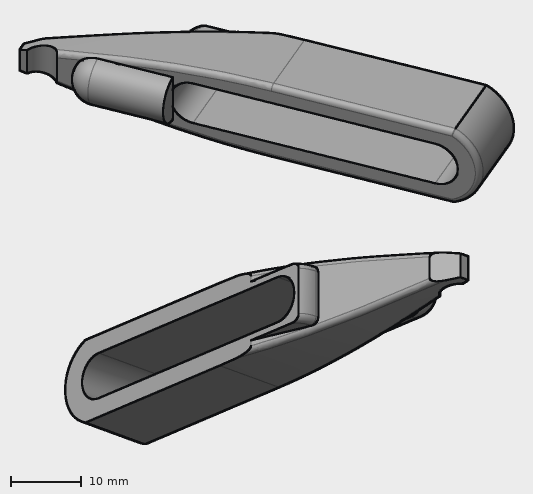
import cadquery as cq
import math

length = 70.5
depth = 12.05
half_height = 6.35
tip_half_height = 1.8
taper_end = 38.5
taper_mid = (12.0, 3.95)
tip_slope = 0.18
round_start = 66.3
edge_radius = 0.85
trim_stock = 3.5

tip_depth = 1.55
slope_start = (3.5, 4.15)
slope_end = (32.0, depth)

groove_radius = 2.5
groove_center = (3.45, -0.9)

slot_radius = 3.45
slot_start = 23.05
slot_end = 67.0

pin_radius = 3.7
pin_start = 8.3
pin_end = 23.5

block_start = 21.3
block_end = 32.45
block_half_height = 4.5
block_base = 7.05
block_radius = 1.05
block_bend_start = 9.5
block_lean = 0.85


def make_blank():
    """Extrude the handle outline along Y."""
    taper = [taper_mid, (taper_end, half_height)]
    lower_taper = [(taper_mid[0], -taper_mid[1]), (0, -tip_half_height)]
    outline = (
        cq.Workplane("XZ")
        .moveTo(0, tip_half_height)
        .spline(taper, tangents=[(1, tip_slope), (1, 0)], includeCurrent=True)
        .lineTo(round_start, half_height)
        .threePointArc((length, 0), (round_start, -half_height))
        .lineTo(taper_end, -half_height)
        .spline(lower_taper, tangents=[(-1, 0), (-1, tip_slope)], includeCurrent=True)
        .close()
    )
    return outline.extrude(-(depth + trim_stock))


def cut_sloping_back(body):
    """Slice off the back of the nose and round the two long edges this leaves."""
    slope = (slope_end[1] - slope_start[1]) / (slope_end[0] - slope_start[0])
    slope_depth_at_tip = slope_start[1] - slope * slope_start[0]
    stock_depth = depth + trim_stock
    stock_end_x = slope_end[0] + trim_stock / slope
    wedge = (
        cq.Workplane("XY")
        .polyline([(0, slope_depth_at_tip), (stock_end_x, stock_depth), (0, stock_depth)])
        .close()
        .extrude(half_height, both=True)
    )
    sloped = body.cut(wedge)
    slope_normal = cq.Vector(-slope, 1, 0)
    slope_face = sloped.faces(cq.selectors.ParallelDirSelector(slope_normal))
    rounded = sloped.newObject(slope_face.edges("not |Z").vals()).fillet(edge_radius)
    surplus = cq.Workplane("XZ", origin=(0, depth, 0)).rect(3 * length, 3 * half_height).extrude(-length)
    return rounded.cut(surplus)


def cut_tip(body):
    """Bevel the back of the tip more steeply than the nose."""
    bevel_slope = (slope_start[1] - tip_depth) / slope_start[0]
    bevel_end = (depth - tip_depth) / bevel_slope
    bevel = (
        cq.Workplane("XY")
        .polyline([(0, tip_depth), (bevel_end, depth), (0, depth)])
        .close()
        .extrude(half_height, both=True)
    )
    return body.cut(bevel)


def cut_groove(body):
    """Cut the round groove across the front of the tip."""
    groove = (
        cq.Workplane("XY")
        .center(*groove_center)
        .circle(groove_radius)
        .extrude(half_height, both=True)
    )
    return body.cut(groove)


def round_front_rim(blank):
    """Round the rim of the front face, leaving the tip ahead of the groove sharp."""
    rounded = blank.faces("<Y").edges("not |Z").fillet(edge_radius)
    tip_zone = cq.Workplane("XY").box(2 * groove_center[0], 2 * edge_radius, length)
    return rounded.union(blank.intersect(tip_zone))


def make_block():
    """Block with rounded corners, its end wall leaning inward towards the back."""
    bend_radius = (block_lean**2 + (depth - block_bend_start) ** 2) / (2 * block_lean)
    bend_angle = math.asin((depth - block_bend_start) / bend_radius)
    bend_mid = (
        block_start + bend_radius * (1 - math.cos(bend_angle / 2)),
        block_bend_start + bend_radius * math.sin(bend_angle / 2),
    )
    profile = (
        cq.Workplane("XY")
        .moveTo(block_start, block_base)
        .lineTo(block_start, block_bend_start)
        .threePointArc(bend_mid, (block_start + block_lean, depth))
        .lineTo(block_end, depth)
        .lineTo(block_end, block_base)
        .close()
    )
    block = profile.extrude(block_half_height, both=True)
    end_wall = cq.selectors.BoxSelector(
        (block_start - block_lean, block_base, -depth),
        (block_start + block_lean, depth - edge_radius, depth),
    )
    return block.edges("not |Z").edges(end_wall).fillet(block_radius)


def make_slot():
    """Stadium-shaped slot passing right through along Y."""
    return (
        cq.Workplane("XZ")
        .center((slot_start + slot_end) / 2, 0)
        .slot2D(slot_end - slot_start, 2 * slot_radius)
        .extrude(-depth)
    )


def make_pin():
    """Half-round pin with a quarter-sphere nose, flat side on the front face."""
    nose_center = pin_start + pin_radius
    nose_mid = nose_center - pin_radius * math.sqrt(0.5)
    half_profile = (
        cq.Workplane("XZ")
        .moveTo(pin_start, 0)
        .threePointArc((nose_mid, pin_radius * math.sqrt(0.5)), (nose_center, pin_radius))
        .lineTo(pin_end, pin_radius)
        .lineTo(pin_end, 0)
        .close()
    )
    return half_profile.revolve(180, (0, 0, 0), (1, 0, 0))


body = round_front_rim(make_blank())
body = cut_sloping_back(body)
body = cut_tip(body)
body = cut_groove(body)
body = body.union(make_block()).cut(make_slot())
result = body.union(make_pin())